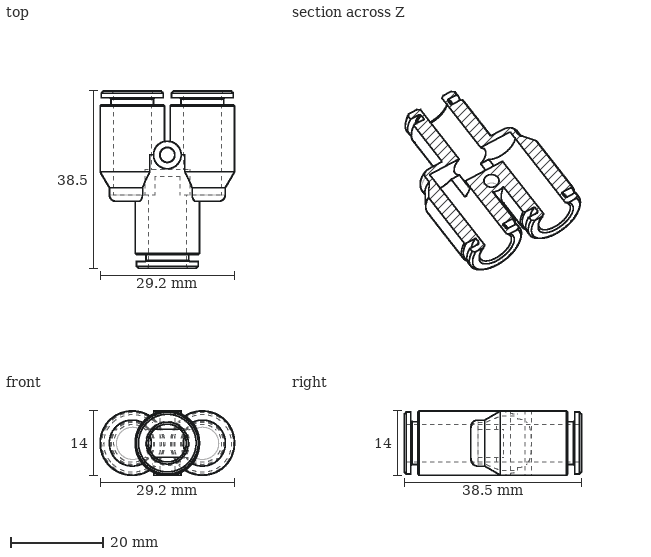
import cadquery as cq


body_diameter = 14.0
branch_pitch = 15.2
overall_length = 38.5
hole_to_branch_end = 13.9
branch_x = branch_pitch / 2
branch_end_y = hole_to_branch_end
main_end_y = hole_to_branch_end - overall_length

collar_diameter = 13.5
collar_thickness = 1.5
collar_chamfer = 0.5
sleeve_diameter = 9.3
sleeve_flare_length = 0.3
sleeve_flare_height = 0.15
port_length = 3.0
body_chamfer = 0.3

cone_start = 17.6
cone_end = 21.0
branch_length = 24.0
stub_diameter = 10.0
stub_fillet = 1.5

bore_diameter = 8.2
bore_entry_chamfer = 0.45
end_wall = 1.5
passage_height = 6.1
main_bore_end_y = -4.6
passage_end_y = -3.1

boss_diameter = 6.0
boss_height = 14.0
mounting_hole_diameter = 3.2

body_radius = body_diameter / 2
stub_radius = stub_diameter / 2
bore_radius = bore_diameter / 2
main_length = -main_end_y
branch_bore_depth = branch_length - end_wall
main_bore_depth = main_bore_end_y - main_end_y


def revolve_profile(profile):
    """Close a (radius, depth) outline and turn it about the Y axis."""
    return profile.close().revolve(360, (0, 0, 0), (0, 1, 0))


def port_profile():
    """Collar, sleeve and body shoulder, from the port face at depth 0 inwards."""
    collar_radius = collar_diameter / 2
    sleeve_radius = sleeve_diameter / 2
    return (
        cq.Workplane("XY")
        .lineTo(collar_radius - collar_chamfer, 0)
        .lineTo(collar_radius, collar_chamfer)
        .lineTo(collar_radius, collar_thickness)
        .lineTo(sleeve_radius + sleeve_flare_height, collar_thickness)
        .lineTo(sleeve_radius, collar_thickness + sleeve_flare_length)
        .lineTo(sleeve_radius, port_length)
        .lineTo(body_radius - body_chamfer, port_length)
        .lineTo(body_radius, port_length + body_chamfer)
    )


def main_body():
    """Plain cylinder with its port face at depth 0 and its inner end at the hole axis."""
    profile = port_profile().lineTo(body_radius, main_length).lineTo(0, main_length)
    return revolve_profile(profile)


def branch_body():
    """Cylinder that tapers to a closed stub with a rounded end."""
    profile = (
        port_profile()
        .lineTo(body_radius, cone_start)
        .lineTo(stub_radius, cone_end)
        .lineTo(stub_radius, branch_length - stub_fillet)
        .radiusArc((stub_radius - stub_fillet, branch_length), -stub_fillet)
        .lineTo(0, branch_length)
    )
    return revolve_profile(profile)


def bore(depth):
    """Blind bore with a chamfered mouth at depth 0."""
    profile = (
        cq.Workplane("XY")
        .lineTo(bore_radius + bore_entry_chamfer, 0)
        .lineTo(bore_radius, bore_entry_chamfer)
        .lineTo(bore_radius, depth)
        .lineTo(0, depth)
    )
    return revolve_profile(profile)


def place_main(shape):
    """Move a shape to the single port, with depth running along +Y."""
    return shape.translate((0, main_end_y, 0))


def place_branch(shape, side):
    """Move a shape to a branch port, with depth running along -Y."""
    turned = shape.rotate((0, 0, 0), (0, 0, 1), 180)
    return turned.translate((side * branch_x, branch_end_y, 0))


def vertical_cylinder(diameter, height):
    """Cylinder along Z, centred on the origin."""
    return cq.Workplane("XY").circle(diameter / 2).extrude(height / 2, both=True)


def cross_passage():
    """Rectangular passage that links the main bore to both branch bores."""
    passage_start_y = branch_end_y - branch_bore_depth
    return (
        cq.Workplane("XY")
        .box(branch_pitch, passage_end_y - passage_start_y, passage_height)
        .translate((0, (passage_start_y + passage_end_y) / 2, 0))
    )


result = place_main(main_body())
for side in (-1, 1):
    result = result.union(place_branch(branch_body(), side))
result = result.union(vertical_cylinder(boss_diameter, boss_height))

result = result.cut(place_main(bore(main_bore_depth)))
for side in (-1, 1):
    result = result.cut(place_branch(bore(branch_bore_depth), side))
result = result.cut(cross_passage())
result = result.cut(vertical_cylinder(mounting_hole_diameter, boss_height))